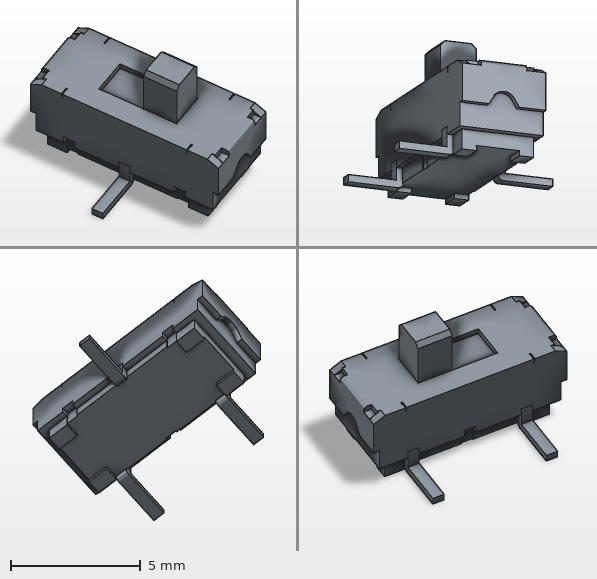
import cadquery as cq
import math

case_length = 8.5
case_width = 3.5
case_top = 3.5
case_bottom = 0.8

sheet = 0.25
wide_plate_length = 5.6
neck_width = 2.805
plate_length = 7.8
flap_width = 1.9
bend_radius = 0.195
hook_bottom = 1.75
hook_top = 2.25
notch_half_width = 0.63
notch_height = 0.56
notch_radius = 0.5
notch_slope = 58.0

post_draft = 0.05
post_chamfer_length = 0.5

base_length = 7.26
base_width = 3.0
slab_bottom = 0.2
foot_inner_width = 1.8

slot_length = 3.5
slot_width = 1.55
knob_length = 1.505
knob_width = 1.505
knob_top = 5.5
knob_chamfer = 0.195

terminal_pitch = 2.5
terminal_width = 0.5
terminal_thickness = 0.3
terminal_bend_radius = 0.2
terminal_span = 7.5
pocket_top = 1.11

half_length = case_length / 2
half_width = case_width / 2
core_length = case_length - 2 * sheet
seat = case_top - sheet
foot_length = base_length / 2 - terminal_pitch - terminal_width / 2


def box(x_range, y_range, z_range):
    """Axis-aligned block between pairs of limits."""
    size = [high - low for low, high in (x_range, y_range, z_range)]
    origin = cq.Vector(x_range[0], y_range[0], z_range[0])
    return cq.Workplane(cq.Solid.makeBox(*size, origin))


def centered_box(length, width, bottom, top):
    """Block centred on the Z axis."""
    return box((-length / 2, length / 2), (-width / 2, width / 2), (bottom, top))


def at_four_corners(shape):
    """The shape and its mirror images in the XZ and YZ planes."""
    pair = shape.add(shape.mirror("YZ"))
    return pair.vals() + pair.mirror("XZ").vals()


def make_corner():
    """Corner of the case at +X, +Y: an ear beside the flap and a chamfered post on top of it."""
    ear = box((core_length / 2, half_length), (flap_width / 2, half_width), (hook_top, seat))
    plate_end = wide_plate_length / 2
    post = (
        cq.Workplane("XZ", origin=(0, half_width, 0))
        .moveTo(plate_end, seat)
        .lineTo(half_length, seat)
        .lineTo(half_length - post_chamfer_length, case_top)
        .lineTo(plate_end + post_draft, case_top)
        .close()
        .extrude((case_width - neck_width) / 2)
    )
    return ear.union(post)


def make_base():
    """Moulded case core with corner posts, base slab, four feet and terminal pockets."""
    base = centered_box(core_length, case_width, case_bottom, seat)
    base = base.union(centered_box(base_length, base_width, slab_bottom, case_bottom))
    foot = box(
        (base_length / 2 - foot_length, base_length / 2),
        (foot_inner_width / 2, base_width / 2),
        (0, case_bottom),
    )
    for part in at_four_corners(foot) + at_four_corners(make_corner()):
        base = base.union(cq.Workplane(part))
    for x in (-terminal_pitch, 0, terminal_pitch):
        for y_range in (
            (half_width - terminal_thickness, half_width),
            (-half_width, terminal_thickness - half_width),
        ):
            x_range = (x - terminal_width / 2, x + terminal_width / 2)
            base = base.cut(box(x_range, y_range, (0, pocket_top)))
    return base


def make_flap():
    """Bent end flap at +X with a wide foot and an arched notch in its lower edge."""
    inner = core_length / 2
    strip = box((plate_length / 2, half_length), (-flap_width / 2, flap_width / 2), (seat, case_top))
    strip = strip.edges(">X and >Z").fillet(bend_radius)
    strip = strip.union(box((inner, half_length), (-flap_width / 2, flap_width / 2), (hook_bottom, seat)))
    foot = box((inner, half_length), (-half_width, half_width), (hook_bottom, hook_top))
    arch_y = notch_radius * math.sin(math.radians(notch_slope))
    crown = hook_bottom + notch_height
    arch_z = crown - notch_radius * (1 - math.cos(math.radians(notch_slope)))
    notch = (
        cq.Workplane("YZ", origin=(inner, 0, 0))
        .moveTo(-notch_half_width, hook_bottom)
        .lineTo(-arch_y, arch_z)
        .threePointArc((0, crown), (arch_y, arch_z))
        .lineTo(notch_half_width, hook_bottom)
        .close()
        .extrude(sheet)
    )
    return strip.union(foot).cut(notch)


def make_cover():
    """Cover plate with the knob slot and both end flaps."""
    cover = centered_box(wide_plate_length, case_width, seat, case_top)
    cover = cover.union(centered_box(plate_length, neck_width, seat, case_top))
    cover = cover.cut(centered_box(slot_length, slot_width, seat, case_top))
    flap = make_flap()
    return cover.union(flap).union(flap.mirror("YZ"))


def make_knob():
    """Knob at the +X end of the slot, chamfered along its front and rear top edges."""
    x_range = (slot_length / 2 - knob_length, slot_length / 2)
    knob = box(x_range, (-knob_width / 2, knob_width / 2), (seat, knob_top))
    return knob.edges("|X and >Z").chamfer(knob_chamfer)


def make_housing():
    """Base, cover and knob as one solid that keeps the seams between its flush faces."""
    return make_base().union(make_cover(), clean=False).union(make_knob(), clean=False)


def make_terminal(x, side):
    """L-shaped terminal at x; side is +1 for the rear (+Y) and -1 for the front."""
    inner_y = half_width - terminal_thickness
    leg_plane = cq.Plane(origin=(x, 0, 0), xDir=(0, side, 0), normal=(side, 0, 0))
    return (
        cq.Workplane(leg_plane)
        .moveTo(inner_y, pocket_top)
        .lineTo(half_width, pocket_top)
        .lineTo(half_width, terminal_thickness)
        .lineTo(terminal_span / 2, terminal_thickness)
        .lineTo(terminal_span / 2, 0)
        .lineTo(inner_y + terminal_bend_radius, 0)
        .radiusArc((inner_y, terminal_bend_radius), terminal_bend_radius)
        .close()
        .extrude(terminal_width / 2, both=True)
    )


housing = make_housing()
terminals = [
    make_terminal(x, side).val()
    for x, side in ((-terminal_pitch, 1), (terminal_pitch, 1), (0, -1))
]

result = cq.Compound.makeCompound([housing.val(), *terminals])